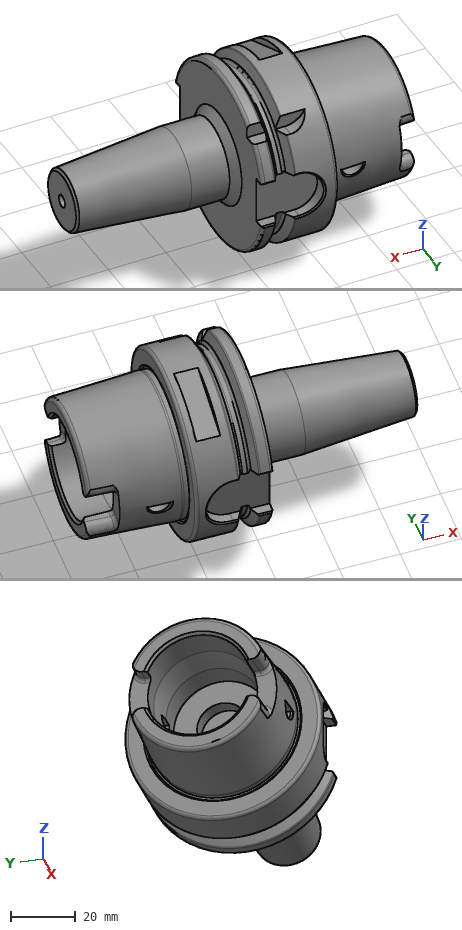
import cadquery as cq
import math

TOTAL_LENGTH = 112.0

SHANK_TIP_RADIUS = 22.7
SHANK_ROOT_RADIUS = 24.2
SHANK_TIP_ROUNDING = 1.3
TAPER_END_X = 29.9
ROOT_RELIEF_DEPTH = 0.1
ROOT_RELIEF_WIDTH = 0.7
BORE_RADIUS = 17.0
BORE_DEPTH = 32.0
BORE_ENTRY_CHAMFER = 0.9
BORE_CONE_START_X = 12.5
BORE_CONE_END_X = 22.4
BORE_FLOOR_RADIUS = 15.7

FLANGE_RADIUS = 31.5
FLANGE_START_X = 31.9
FLANGE_END_X = 57.9
FLANGE_EDGE_ROUNDING = 1.1
FACE_RECESS_RADIUS = 25.4
FACE_RECESS_DEPTH = 0.6

GROOVE_X = 49.8
GROOVE_FLOOR_RADIUS = 27.4
GROOVE_FLOOR_WIDTH = 3.5
GROOVE_FLANK_FOOT_RADIUS = 28.5
GROOVE_FLANK_ANGLE = 30.0
GROOVE_FLOOR_ROUNDING = 0.9
GROOVE_SHANK_SIDE_ROUNDING = 0.3
GROOVE_NOSE_SIDE_ROUNDING = 0.6

NECK_RADIUS = 13.7
NECK_FLARE = 2.8
NECK_END_X = 73.9
NOSE_TIP_RADIUS = 10.5
NOSE_TIP_CHAMFER = 0.8

COOLANT_HOLE_DIAMETER = 4.3
COOLANT_SEAT_DIAMETER = 16.5
COOLANT_SEAT_DEPTH = 5.6

DRIVE_SLOT_WIDTH = 12.5
DEEP_SLOT_DEPTH = 9.9
SHALLOW_SLOT_DEPTH = 5.7
SLOT_MOUTH_ROUNDING = 2.9
SLOT_FLOOR_ROUNDING = 1.2

CLAMP_HOLE_X = 22.8
CLAMP_HOLE_DIAMETER = 7.5
CLAMP_HOLE_CHAMFER = 0.6
SHANK_WALL_DROP = 0.5

KEYWAY_FLOOR_Y = 26.4
FRONT_KEYWAY_WIDTH = 18.0
REAR_KEYWAY_WIDTH = 16.0
KEYWAY_EDGE_CHAMFER = 0.6
FRONT_KEYWAY_START_X = 35.7
REAR_KEYWAY_START_X = 36.7

NOTCH_FLOOR_Y = 20.0
NOTCH_FLOOR_Z = 19.8
NOTCH_CUTTER_RADIUS = 8.0
NOTCH_CUTTER_X = 44.9
FLAT_START_X = 35.4
FLAT_WIDTH = 7.8
FLAT_DISTANCE = 29.2
FLAT_TILT = 22.5

OVERCUT = 11.2
SEAM_ANGLE = -60.0
X_AXIS = ((0, 0, 0), (1, 0, 0))


def cylinder(start_x, length, radius):
    return cq.Workplane("YZ", origin=(start_x, 0, 0)).circle(radius).extrude(length)


def rims(body, x, radius):
    """Circular edges around the X axis at the given station and radius."""

    def on_rim(edge):
        if edge.geomType() != "CIRCLE":
            return False
        center = edge.arcCenter()
        return math.hypot(center.x - x, center.y, center.z) < 0.001 and abs(edge.radius() - radius) < 0.001

    return body.edges().filter(on_rim)


def turned_blank():
    """Shank, plain flange, neck and nose with sharp edges, turned around the X axis."""
    relief_radius = SHANK_ROOT_RADIUS - ROOT_RELIEF_DEPTH
    recess_x = FLANGE_START_X + FACE_RECESS_DEPTH
    return (
        cq.Workplane("XY")
        .lineTo(0, SHANK_TIP_RADIUS)
        .lineTo(TAPER_END_X, SHANK_ROOT_RADIUS)
        .lineTo(TAPER_END_X + ROOT_RELIEF_WIDTH, relief_radius)
        .lineTo(recess_x, relief_radius)
        .lineTo(recess_x, FACE_RECESS_RADIUS - FACE_RECESS_DEPTH)
        .lineTo(FLANGE_START_X, FACE_RECESS_RADIUS)
        .lineTo(FLANGE_START_X, FLANGE_RADIUS)
        .lineTo(FLANGE_END_X, FLANGE_RADIUS)
        .lineTo(FLANGE_END_X, NECK_RADIUS + NECK_FLARE)
        .lineTo(FLANGE_END_X + NECK_FLARE, NECK_RADIUS)
        .lineTo(NECK_END_X, NECK_RADIUS)
        .lineTo(TOTAL_LENGTH, NOSE_TIP_RADIUS)
        .lineTo(TOTAL_LENGTH, 0)
        .close()
        .revolve(360, *X_AXIS)
        .rotate(*X_AXIS, SEAM_ANGLE)
    )


def cut_gripper_groove(body):
    """Groove around the flange: a round-cornered slot that opens into two slanted flanks."""
    flank_height = FLANGE_RADIUS - GROOVE_FLANK_FOOT_RADIUS
    flank_spread = math.tan(math.radians(GROOVE_FLANK_ANGLE))
    half_floor = GROOVE_FLOOR_WIDTH / 2
    half_mouth = half_floor + flank_height * flank_spread
    half_clear = half_mouth + OVERCUT * flank_spread
    ring = (
        cq.Workplane("XY", origin=(GROOVE_X, 0, 0))
        .moveTo(-half_floor, GROOVE_FLOOR_RADIUS)
        .lineTo(-half_floor, GROOVE_FLANK_FOOT_RADIUS)
        .lineTo(-half_clear, FLANGE_RADIUS + OVERCUT)
        .lineTo(half_clear, FLANGE_RADIUS + OVERCUT)
        .lineTo(half_floor, GROOVE_FLANK_FOOT_RADIUS)
        .lineTo(half_floor, GROOVE_FLOOR_RADIUS)
        .close()
        .revolve(360, *X_AXIS)
        .rotate(*X_AXIS, SEAM_ANGLE)
    )
    for side in (-1, 1):
        ring = rims(ring, GROOVE_X + side * half_floor, GROOVE_FLOOR_RADIUS).fillet(GROOVE_FLOOR_ROUNDING)
    body = body.cut(ring)
    body = rims(body, GROOVE_X - half_mouth, FLANGE_RADIUS).fillet(GROOVE_SHANK_SIDE_ROUNDING)
    return rims(body, GROOVE_X + half_mouth, FLANGE_RADIUS).fillet(GROOVE_NOSE_SIDE_ROUNDING)


def bore():
    """Hollow of the shank, the coolant seat behind it and the passage to the nose."""
    hollow = (
        cq.Workplane("XY")
        .lineTo(0, BORE_RADIUS + BORE_ENTRY_CHAMFER)
        .lineTo(BORE_ENTRY_CHAMFER, BORE_RADIUS)
        .lineTo(BORE_CONE_START_X, BORE_RADIUS)
        .lineTo(BORE_CONE_END_X, BORE_FLOOR_RADIUS)
        .lineTo(BORE_DEPTH, BORE_FLOOR_RADIUS)
        .lineTo(BORE_DEPTH, 0)
        .close()
        .revolve(360, *X_AXIS)
    )
    seat = cylinder(BORE_DEPTH, COOLANT_SEAT_DEPTH, COOLANT_SEAT_DIAMETER / 2)
    passage = cylinder(0, TOTAL_LENGTH, COOLANT_HOLE_DIAMETER / 2)
    return hollow.union(seat).union(passage)


def taper_radius(x):
    slope = (SHANK_ROOT_RADIUS - SHANK_TIP_RADIUS) / TAPER_END_X
    return SHANK_TIP_RADIUS + slope * x


def drive_slot_section(x):
    """Cross-section of a driving slot: straight walls that round over into the taper."""
    half_width = DRIVE_SLOT_WIDTH / 2
    outside = taper_radius(x)
    to_center = outside - SLOT_MOUTH_ROUNDING
    center_z = half_width + SLOT_MOUTH_ROUNDING
    tilt = math.asin(center_z / to_center)
    center_y = to_center * math.cos(tilt)
    mid_angle = (tilt - math.pi / 2) / 2
    arc_y = center_y + SLOT_MOUTH_ROUNDING * math.cos(mid_angle)
    arc_z = center_z + SLOT_MOUTH_ROUNDING * math.sin(mid_angle)
    rim = (outside * math.cos(tilt), outside * math.sin(tilt))
    clear = (FLANGE_RADIUS * math.cos(tilt), FLANGE_RADIUS * math.sin(tilt))
    return (
        cq.Workplane("YZ", origin=(x, 0, 0))
        .moveTo(0, -half_width)
        .lineTo(center_y, -half_width)
        .threePointArc((arc_y, -arc_z), (rim[0], -rim[1]))
        .lineTo(clear[0], -clear[1])
        .lineTo(*clear)
        .lineTo(*rim)
        .threePointArc((arc_y, arc_z), (center_y, half_width))
        .lineTo(0, half_width)
        .close()
        .val()
    )


def drive_slot(side, depth):
    """Slot across one wall of the shank tip, with rounded outer edges and a rounded floor."""
    sections = [drive_slot_section(-1.1), drive_slot_section(depth)]
    slot = cq.Workplane(cq.Solid.makeLoft(sections, True))

    def beside_floor(edge):
        middle = edge.Center()
        return DRIVE_SLOT_WIDTH / 2 - 0.01 < abs(middle.z) and middle.y < taper_radius(depth) * 0.9

    slot = slot.faces(">X").edges().filter(beside_floor).fillet(SLOT_FLOOR_ROUNDING)
    return slot if side > 0 else slot.rotate(*X_AXIS, 180)


def clamp_hole():
    """Half-round hole through both walls of the shank, chamfered at each mouth."""
    radius = CLAMP_HOLE_DIAMETER / 2
    mouth = SHANK_ROOT_RADIUS - SHANK_WALL_DROP
    rim = radius + CLAMP_HOLE_CHAMFER
    half_outline = (
        cq.Workplane("XY", origin=(CLAMP_HOLE_X, 0, 0))
        .lineTo(radius, 0)
        .lineTo(radius, mouth - CLAMP_HOLE_CHAMFER)
        .lineTo(rim, mouth)
        .lineTo(rim, FLANGE_RADIUS)
        .lineTo(0, FLANGE_RADIUS)
        .close()
    )
    hole = half_outline.revolve(180, (0, 0, 0), (0, 1, 0))
    return hole.union(hole.mirror("XZ"))


def keyway(side, start_x, width):
    """Flat-bottomed keyway with a round end, open towards the nose."""
    half_width = width / 2
    length = FLANGE_END_X + OVERCUT - start_x
    key = (
        cq.Workplane("XZ", origin=(start_x, -KEYWAY_FLOOR_Y, 0))
        .moveTo(length, -half_width)
        .lineTo(half_width, -half_width)
        .threePointArc((0, 0), (half_width, half_width))
        .lineTo(length, half_width)
        .close()
        .extrude(OVERCUT)
    )
    return key if side < 0 else key.rotate(*X_AXIS, 180)


def cut_keyways(body):
    """Both keyways, with a chamfer along their outer edges."""
    body = body.cut(keyway(-1, FRONT_KEYWAY_START_X, FRONT_KEYWAY_WIDTH))
    body = body.cut(keyway(1, REAR_KEYWAY_START_X, REAR_KEYWAY_WIDTH))

    def on_keyway_mouth(edge):
        middle = edge.positionAt(0.5)
        on_surface = abs(math.hypot(middle.y, middle.z) - FLANGE_RADIUS) < 0.001
        near_keyway = abs(middle.y) > KEYWAY_FLOOR_Y and abs(middle.z) < FRONT_KEYWAY_WIDTH / 2 + 0.001
        return on_surface and near_keyway and FLANGE_START_X + 1.1 < middle.x < FLANGE_END_X - 1.1

    return body.edges().filter(on_keyway_mouth).chamfer(KEYWAY_EDGE_CHAMFER)


def corner_notch():
    """Notch with an upright and a level wall and a round end, open towards the nose."""
    radius = NOTCH_CUTTER_RADIUS
    width = 2 * radius
    length = FLANGE_END_X - NOTCH_CUTTER_X
    center = (NOTCH_CUTTER_X, NOTCH_FLOOR_Y, NOTCH_FLOOR_Z + radius)
    plane = cq.Workplane("XZ", origin=center)
    round_end = plane.circle(radius).extrude(-OVERCUT)
    run_out = plane.center(length / 2, 0).rect(length, width).extrude(-OVERCUT)
    return round_end.union(run_out)


def chip_flat():
    """Tilted flat sunk into the rim of the flange."""
    return (
        cq.Workplane("XY")
        .box(FLAT_WIDTH, FLANGE_RADIUS * 2, OVERCUT, centered=(False, True, False))
        .translate((FLAT_START_X, 0, FLAT_DISTANCE))
        .rotate(*X_AXIS, FLAT_TILT)
    )


blank = cut_keyways(turned_blank())
blank = cut_gripper_groove(blank)
for flange_face_x in (FLANGE_START_X, FLANGE_END_X):
    blank = rims(blank, flange_face_x, FLANGE_RADIUS).fillet(FLANGE_EDGE_ROUNDING)
blank = rims(blank, TOTAL_LENGTH, NOSE_TIP_RADIUS).chamfer(NOSE_TIP_CHAMFER)
blank = rims(blank, 0, SHANK_TIP_RADIUS).fillet(SHANK_TIP_ROUNDING)

result = blank.cut(bore())
result = result.cut(drive_slot(-1, DEEP_SLOT_DEPTH)).cut(drive_slot(1, SHALLOW_SLOT_DEPTH))
result = result.cut(clamp_hole()).cut(corner_notch()).cut(chip_flat())